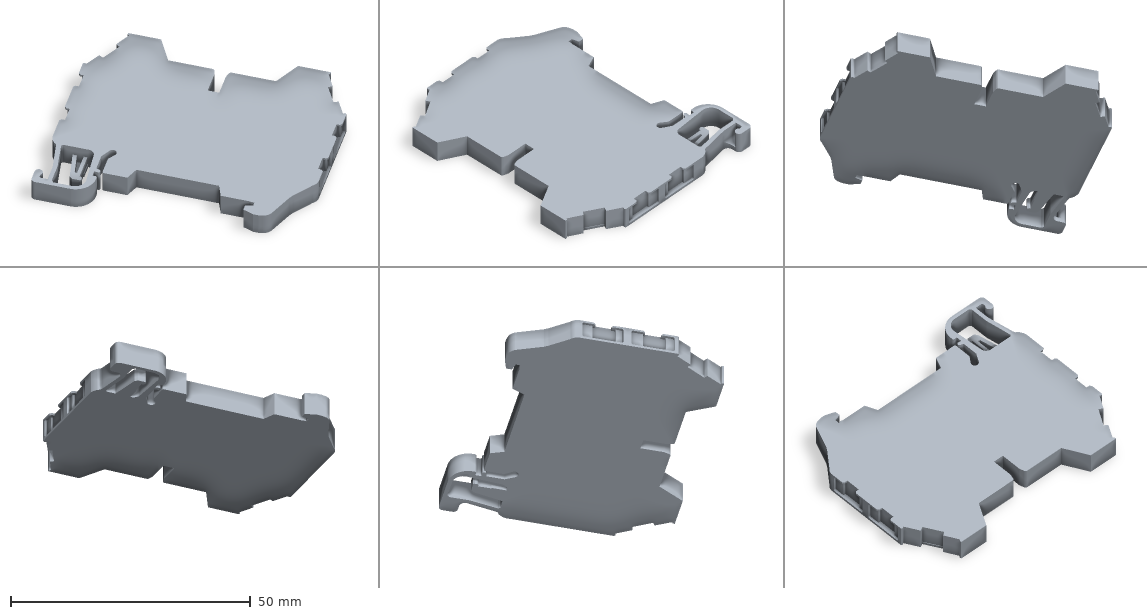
import cadquery as cq


overall_x = 57.83
overall_y = 49.05
thickness = 5.0
half_width = 28.56
top_y = 39.7
left_x = half_width - overall_x
bottom_y = top_y - overall_y

shoulder_y = 33.96
slot_half_width = 1.25
slot_floor_y = 27.35
foot_y = -2.83
stem_x = -25.99
stem_bend_y = -4.0
hook_corner_radius = 0.95
hook_floor_y = -7.77
window_top_y = 3.18

skin = 0.57
pocket_depth = 0.57
recess_depth = 2 * pocket_depth
pocket_top_z = 4.53
pocket_corner_radius = 0.35
notch_mouth = 0.4
side_pockets = [
    ((18.28, 27.47), (20.80, 25.71), (21.25, 24.75)),
    ((7.74, 16.49), (10.03, 14.95), (10.60, 14.10)),
]

tongue_top_z = 2.75
tongue_floor_z = 0.8
web_floor_z = 1.07
web_fillet_radius = 1.0

notch_inner_upper = (22.62, 35.15)
notch_outer_upper = (23.45, 35.75)
notch_inner_lower = (24.98, 31.05)
notch_outer_lower = (25.95, 31.55)
shoulder = [
    (slot_half_width, slot_floor_y),
    (slot_half_width, 32.4),
    (1.60, 33.65),
    (1.85, shoulder_y),
    (11.70, shoulder_y),
    (14.83, top_y),
    (21.98, top_y),
    (21.98, 39.25),
    (21.62, 39.05),
    notch_outer_upper,
    notch_inner_upper,
    notch_inner_lower,
    notch_outer_lower,
    (27.80, 28.30),
    (28.25, 28.50),
    (half_width, 28.30),
]


def mirrored(points):
    """Mirror points across X = 0, keeping the order along the profile."""
    return [(-x, y) for x, y in points]


def prism(points, bottom_z, top_z):
    """Straight-sided block between two heights."""
    return cq.Workplane("XY").workplane(offset=bottom_z).polyline(points).close().extrude(top_z - bottom_z)


def block(x_range, y_range, z_range):
    """Axis-aligned box from three (low, high) ranges."""
    size = [high - low for low, high in (x_range, y_range, z_range)]
    corner = (x_range[0], y_range[0], z_range[0])
    return cq.Workplane("XY").box(*size, centered=False).translate(corner)


def make_plate():
    """Full outline: shoulders, right foot, rail seat, release slit, spring foot and hook."""
    right_foot_bottom_y = -6.42
    rail_seat = [
        (20.25, -6.22),
        (19.30, right_foot_bottom_y),
        (18.15, right_foot_bottom_y),
        (15.80, -5.60),
        (15.80, -4.33),
        (17.45, -3.90),
        (17.45, foot_y),
        (16.80, foot_y - 0.15),
        (16.30, foot_y),
        (10.12, foot_y),
        (8.95, 0),
        (-8.95, 0),
        (-10.12, foot_y),
        (-15.40, foot_y),
        (-15.58, foot_y + 0.17),
        (-15.58, 1.60),
        (-14.50, 3.10),
    ]
    return (
        cq.Workplane("XY")
        .polyline(shoulder)
        .lineTo(half_width, 6.90)
        .threePointArc((28.27, 6.06), (27.70, 5.38))
        .lineTo(24.65, 1.40)
        .lineTo(24.12, 0.54)
        .lineTo(21.76, -5.07)
        .threePointArc((21.15, -5.80), rail_seat[0])
        .polyline(rail_seat)
        .threePointArc((-14.75, 4.40), (-15.90, 4.10))
        .lineTo(-17.11, 2.00)
        .lineTo(-17.11, -1.85)
        .lineTo(-16.40, -2.08)
        .threePointArc((-16.05, -2.50), (-16.40, -2.95))
        .lineTo(-17.30, -2.86)
        .lineTo(-17.30, -4.20)
        .lineTo(-16.50, -4.20)
        .lineTo(-16.30, -4.40)
        .lineTo(-16.30, -5.50)
        .threePointArc((-17.45, -7.93), (-20.43, bottom_y))
        .lineTo(left_x + hook_corner_radius, bottom_y)
        .radiusArc((left_x, bottom_y + hook_corner_radius), hook_corner_radius)
        .lineTo(left_x, -6.25)
        .threePointArc((left_x + 0.3, -5.57), (left_x + hook_corner_radius, -5.30))
        .threePointArc((-27.66, -5.75), (-27.50, -6.50))
        .threePointArc((-27.85, -7.10), (-27.60, hook_floor_y))
        .lineTo(stem_x, hook_floor_y)
        .lineTo(stem_x, stem_bend_y)
        .lineTo(-27.10, 2.52)
        .lineTo(-27.25, 2.99)
        .lineTo(-27.74, 3.28)
        .threePointArc((-28.22, 4.02), (-half_width, 4.88))
        .polyline(mirrored(shoulder)[::-1], includeCurrent=True)
        .close()
        .extrude(thickness)
    )


def make_window():
    """Opening enclosed by the spring foot."""
    floor_y = -8.40
    left_face_x = -25.05
    corner_chamfer = 0.45
    return (
        cq.Workplane("XY")
        .moveTo(-25.75, window_top_y)
        .lineTo(-20.20, window_top_y)
        .threePointArc((-19.15, 2.75), (-18.72, 1.70))
        .lineTo(-18.15, -5.80)
        .threePointArc((-18.70, -7.55), (-20.40, floor_y))
        .lineTo(left_face_x + corner_chamfer, floor_y)
        .lineTo(left_face_x, floor_y + corner_chamfer)
        .lineTo(left_face_x, -3.52)
        .lineTo(-26.05, 2.80)
        .close()
        .extrude(thickness)
    )


def make_tongue():
    """Forked tongue hanging into the window, below the top face, with a low floor in the fork."""
    root_overlap = 0.1
    root_y = window_top_y + root_overlap
    right_x = -20.47
    fork_right_x = -21.27
    tip_y = -3.99
    body = prism([
        (-23.70, root_y),
        (-22.45, -3.40),
        (-21.83, tip_y),
        (-20.10, tip_y),
        (-19.85, -3.70),
        (-19.85, -3.15),
        (-20.20, foot_y),
        (right_x, foot_y),
        (right_x, root_y),
    ], 0, tongue_top_z)
    fork = prism([
        (-22.75, window_top_y),
        (-21.80, -1.90),
        (-21.40, -2.00),
        (fork_right_x, -1.80),
        (fork_right_x, window_top_y),
    ], tongue_floor_z, tongue_top_z)
    ledge_width = 0.18
    ledge = block((right_x, right_x + ledge_width), (0, root_y), (0, tongue_floor_z))
    return body.cut(fork).union(ledge)


def make_hook_web():
    """Low web in the hook mouth, filleted up against the stem and arched on its open side."""
    arch_radius = 1.3
    web_left_x = -28.20
    outline = (
        cq.Workplane("XY")
        .moveTo(web_left_x, hook_floor_y)
        .lineTo(stem_x, hook_floor_y)
        .lineTo(stem_x, stem_bend_y)
        .radiusArc((stem_x - arch_radius, stem_bend_y - arch_radius), arch_radius)
        .lineTo(web_left_x, stem_bend_y - arch_radius)
        .close()
        .extrude(thickness)
    )
    section = (
        cq.Workplane("XZ", origin=(0, stem_bend_y, 0))
        .moveTo(web_left_x, 0)
        .lineTo(stem_x, 0)
        .lineTo(stem_x, web_floor_z + web_fillet_radius)
        .radiusArc((stem_x - web_fillet_radius, web_floor_z), web_fillet_radius)
        .lineTo(web_left_x, web_floor_z)
        .close()
        .extrude(stem_bend_y - hook_floor_y)
    )
    return outline.intersect(section)


def make_side_pocket(pocket, recess, notch):
    """Cutter for one pocket in the left wall: shallow pocket, deep middle and notch to the top face."""
    wall_x = -half_width
    pocket_z = (skin, pocket_top_z)
    shallow = block((wall_x, wall_x + pocket_depth), pocket, pocket_z)
    deep = block((wall_x, wall_x + recess_depth), recess, pocket_z)
    low, high = notch
    top_notch = prism([
        (wall_x, low - notch_mouth),
        (wall_x + notch_mouth, low),
        (wall_x + recess_depth, low),
        (wall_x + recess_depth, high),
        (wall_x + notch_mouth, high),
        (wall_x, high + notch_mouth),
    ], skin, thickness)
    return shallow.edges("|X").fillet(pocket_corner_radius).union(deep).union(top_notch)


def point_between(start, end, distance):
    """Point at a given distance from start toward end."""
    offset = cq.Vector(*end) - cq.Vector(*start)
    point = cq.Vector(*start) + offset.normalized() * distance
    return (point.x, point.y)


def make_step_lip():
    """Thin bottom-layer lip along the sloping step between the two notches of the right shoulder."""
    lip_width = 0.15
    return prism([
        notch_inner_upper,
        point_between(notch_inner_upper, notch_outer_upper, lip_width),
        point_between(notch_inner_lower, notch_outer_lower, lip_width),
        notch_inner_lower,
    ], 0, skin)


result = make_plate().cut(make_window()).union(make_tongue()).union(make_hook_web())

for pocket, recess, notch in side_pockets:
    cutter = make_side_pocket(pocket, recess, notch)
    result = result.cut(cutter).cut(cutter.mirror("YZ"))

step_lip = make_step_lip()
result = result.union(step_lip).union(step_lip.mirror("YZ"))